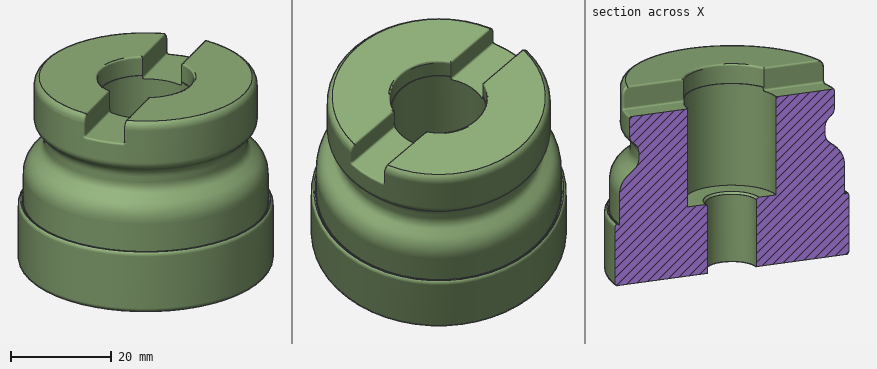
import cadquery as cq
import math

height = 40.05
base_radius = 25.4
base_height = 13.05
base_edge_height = 0.8
base_edge_radius = 0.9
body_radius = 48.8 / 2
groove_width = 0.2
groove_depth = 0.2
shoulder_start = 19.05
shoulder_radius = 5.0
shoulder_angle = math.radians(53)
neck_radius = 20.2
neck_bottom = 26.0
neck_top = 27.45
neck_fillet = 2.5
head_radius = 44.45 / 2
head_under_fillet = 2.0
head_edge_radius = 2.0
head_edge_height = 1.75

bore_diameter = 19.05
bore_depth = 25.4
bore_mouth_diameter = 19.25
bore_mouth_depth = 4.0
hole_diameter = 10.5
hole_chamfer = 0.45

slot_width = 8.4
slot_depth = 4.8
slot_corner_fillet = 0.4

head_edge_fillet = 0.4


def arc_inset(radius, rise):
    """Sideways travel of an arc that leaves a vertical line and rises by the given amount."""
    return radius - math.sqrt(radius**2 - rise**2)


def arc_points(start, radius, angle, side, direction):
    """Middle and end of an arc that leaves a vertical tangent at start."""
    return [
        (
            start[0] + side * radius * (1 - math.cos(turn)),
            start[1] + direction * radius * math.sin(turn),
        )
        for turn in (angle / 2, angle)
    ]


def make_outer_body():
    base_edge_angle = math.asin(base_edge_height / base_edge_radius)
    base_edge_inset = arc_inset(base_edge_radius, base_edge_height)
    base_low = (base_radius, base_edge_height)
    base_high = (base_radius, base_height - base_edge_height)
    base_low_middle, _ = arc_points(base_low, base_edge_radius, base_edge_angle, -1, -1)
    base_high_middle, base_high_end = arc_points(base_high, base_edge_radius, base_edge_angle, -1, 1)

    shoulder = (body_radius, shoulder_start)
    shoulder_middle, shoulder_end = arc_points(shoulder, shoulder_radius, shoulder_angle, -1, 1)
    neck_low = (neck_radius, neck_bottom)
    neck_low_middle, neck_low_end = arc_points(neck_low, neck_fillet, shoulder_angle, 1, -1)

    under_radii = neck_fillet + head_under_fillet
    under_angle = math.acos(1 - (head_radius - neck_radius) / under_radii)
    neck_high = (neck_radius, neck_top)
    neck_high_middle, neck_high_end = arc_points(neck_high, neck_fillet, under_angle, 1, 1)
    head_low = (head_radius, neck_top + under_radii * math.sin(under_angle))
    head_low_middle, _ = arc_points(head_low, head_under_fillet, under_angle, -1, -1)

    head_edge_angle = math.asin(head_edge_height / head_edge_radius)
    head_high = (head_radius, height - head_edge_height)
    head_edge_middle, head_edge_end = arc_points(head_high, head_edge_radius, head_edge_angle, -1, 1)

    profile = (
        cq.Workplane("XZ")
        .lineTo(base_radius - base_edge_inset, 0)
        .threePointArc(base_low_middle, base_low)
        .lineTo(*base_high)
        .threePointArc(base_high_middle, base_high_end)
        .lineTo(body_radius + groove_width, base_height)
        .lineTo(body_radius + groove_width, base_height - groove_depth)
        .lineTo(body_radius, base_height - groove_depth)
        .lineTo(*shoulder)
        .threePointArc(shoulder_middle, shoulder_end)
        .lineTo(*neck_low_end)
        .threePointArc(neck_low_middle, neck_low)
        .lineTo(*neck_high)
        .threePointArc(neck_high_middle, neck_high_end)
        .threePointArc(head_low_middle, head_low)
        .lineTo(*head_high)
        .threePointArc(head_edge_middle, head_edge_end)
        .lineTo(0, height)
        .close()
    )
    return profile.revolve(360, (0, 0, 0), (0, 1, 0))


def make_slot():
    block = cq.Workplane("XY").box(slot_width, 2 * base_radius, 2 * slot_depth)
    slot = block.edges("|Y and <Z").fillet(slot_corner_fillet)
    return slot.translate((0, 0, height))


def cut_bore(body):
    bore_floor = height - bore_depth
    bore = cq.Workplane("XY").workplane(offset=bore_floor).circle(bore_diameter / 2).extrude(bore_depth)
    mouth = (
        cq.Workplane("XY")
        .workplane(offset=height - bore_mouth_depth)
        .circle(bore_mouth_diameter / 2)
        .extrude(bore_mouth_depth)
    )
    hole = cq.Workplane("XY").circle(hole_diameter / 2).extrude(height)
    chamfer = cq.Workplane("XY").add(
        cq.Solid.makeCone(
            hole_diameter / 2,
            hole_diameter / 2 + hole_chamfer,
            hole_chamfer,
            pnt=cq.Vector(0, 0, bore_floor - hole_chamfer),
        )
    )
    return body.cut(bore).cut(mouth).cut(hole).cut(chamfer)


def on_bore(edge):
    return edge.geomType() == "CIRCLE" and edge.radius() < head_radius / 2


def on_slot_mouth(edge):
    """True for the edges where the slot opens through the outer wall of the head."""
    middle = edge.positionAt(0.5)
    clear_of_bore = abs(middle.y) > (bore_diameter / 2 + head_radius) / 2
    climbs_wall = abs(edge.startPoint().z - edge.endPoint().z) > slot_corner_fillet / 2
    return clear_of_bore and (climbs_wall or edge.geomType() == "CIRCLE")


def round_head_edges(body):
    """Round the bore rim, the slot's top edges and the slot mouths together."""
    top_edges = body.faces(">Z").edges().vals()
    rims = [edge for edge in top_edges if edge.geomType() == "LINE" or on_bore(edge)]
    slot_zone = cq.selectors.BoxSelector(
        (-slot_width, -base_radius, height - slot_depth - slot_corner_fillet),
        (slot_width, base_radius, height - slot_corner_fillet),
    )
    mouths = [edge for edge in body.edges(slot_zone).vals() if on_slot_mouth(edge)]
    return body.newObject(rims + mouths).fillet(head_edge_fillet)


slotted_body = cut_bore(make_outer_body()).cut(make_slot())
result = round_head_edges(slotted_body)